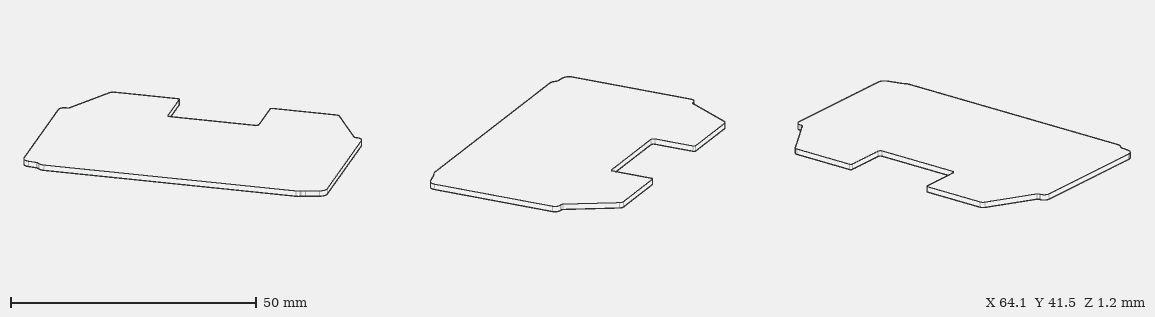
import cadquery as cq

WIDTH = 64.06
HEIGHT = 41.55
THICKNESS = 1.2

HALF_WIDTH = WIDTH / 2
TOP_Y = HEIGHT / 2
BOTTOM_Y = -HEIGHT / 2

TOP_HALF_WIDTH = 24.0
SHOULDER_DROP = 10.7
FLANK_RUN = 6.2
SHOULDER_Y = TOP_Y - SHOULDER_DROP
FLANK_FOOT_X = TOP_HALF_WIDTH + FLANK_RUN
FLANK_TOP_RADIUS = 1.0
FLANK_FOOT_RADIUS = 0.5
SHOULDER_RADIUS = 1.25

NOTCH_WIDTH = 19.2
NOTCH_DEPTH = 9.7
NOTCH_HALF_WIDTH = NOTCH_WIDTH / 2
NOTCH_FLOOR_Y = TOP_Y - NOTCH_DEPTH
NOTCH_FLOOR_RADIUS = 0.6
NOTCH_MOUTH_RADIUS = 0.4

LEDGE_RISE = 0.93
LEDGE_SLOPE_RISE = 0.38
LEDGE_WIDTH = 3.3
LEDGE_Y = BOTTOM_Y + LEDGE_RISE
LEDGE_OUTER_Y = LEDGE_Y + LEDGE_SLOPE_RISE
LEDGE_END_X = -HALF_WIDTH + LEDGE_WIDTH
LEDGE_OUTER_RADIUS = 1.6
LEDGE_FOOT_RADIUS = 1.7
LEDGE_STEP_RADIUS = 0.6

RAMP_START_X = 26.6
RAMP_STEP_RUN = 1.0
RAMP_STEP_RISE = 0.46
RAMP_END_RISE = 1.62
RAMP_OUTER_RADIUS = 1.6
RAMP_FOOT_RADIUS = 2.0
RAMP_STEP_RADIUS = 5.0

CORNERS = [
    (-HALF_WIDTH, LEDGE_OUTER_Y, LEDGE_OUTER_RADIUS),
    (-HALF_WIDTH, SHOULDER_Y, SHOULDER_RADIUS),
    (-FLANK_FOOT_X, SHOULDER_Y, FLANK_FOOT_RADIUS),
    (-TOP_HALF_WIDTH, TOP_Y, FLANK_TOP_RADIUS),
    (-NOTCH_HALF_WIDTH, TOP_Y, NOTCH_MOUTH_RADIUS),
    (-NOTCH_HALF_WIDTH, NOTCH_FLOOR_Y, NOTCH_FLOOR_RADIUS),
    (NOTCH_HALF_WIDTH, NOTCH_FLOOR_Y, NOTCH_FLOOR_RADIUS),
    (NOTCH_HALF_WIDTH, TOP_Y, NOTCH_MOUTH_RADIUS),
    (TOP_HALF_WIDTH, TOP_Y, FLANK_TOP_RADIUS),
    (FLANK_FOOT_X, SHOULDER_Y, FLANK_FOOT_RADIUS),
    (HALF_WIDTH, SHOULDER_Y, SHOULDER_RADIUS),
    (HALF_WIDTH, BOTTOM_Y + RAMP_END_RISE, RAMP_OUTER_RADIUS),
    (RAMP_START_X + RAMP_STEP_RUN, BOTTOM_Y + RAMP_STEP_RISE, RAMP_STEP_RADIUS),
    (RAMP_START_X, BOTTOM_Y, RAMP_FOOT_RADIUS),
    (LEDGE_END_X + LEDGE_RISE, BOTTOM_Y, LEDGE_FOOT_RADIUS),
    (LEDGE_END_X, LEDGE_Y, LEDGE_STEP_RADIUS),
]


def sharp_plate():
    """Plate with every corner of the outline left sharp."""
    outline = [(x, y) for x, y, radius in CORNERS]
    return cq.Workplane("XY").polyline(outline).close().extrude(THICKNESS)


def round_corner(plate, x, y, radius):
    """Round the vertical edge standing at (x, y)."""
    edge = cq.selectors.NearestToPointSelector((x, y, THICKNESS / 2))
    return plate.edges("|Z").edges(edge).fillet(radius)


result = sharp_plate()
for corner_x, corner_y, corner_radius in CORNERS:
    result = round_corner(result, corner_x, corner_y, corner_radius)